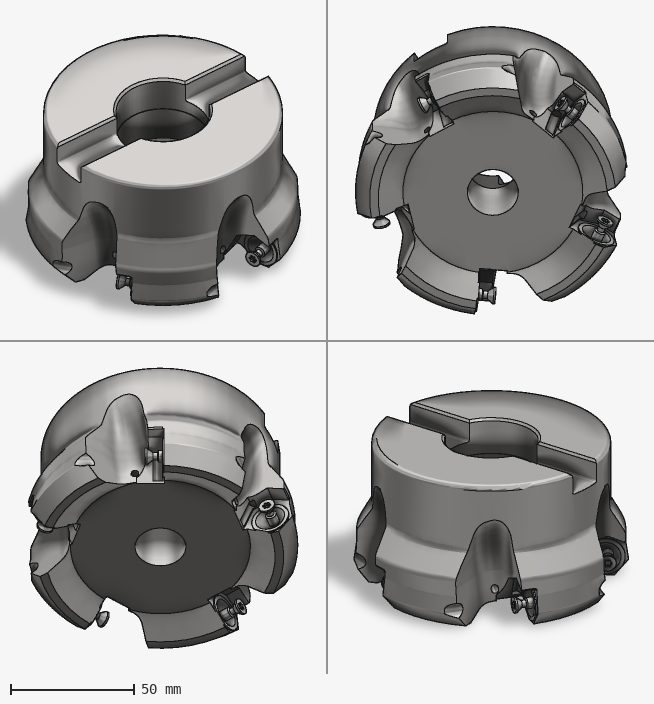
import cadquery as cq
import math

tooth_count = 5
tooth_pitch = 360.0 / tooth_count
first_tooth_angle = 13.0

body_height = 61.71
hub_radius = 48.5
hub_rim_fillet = 2.0
neck_z = 33.0
shoulder_radius = 54.7
shoulder_z = 22.0
shoulder_blend = 4.6
flare_start_z = 14.5
flare_radius = 55.8
flare_z = 7.0
flare_blend = 1.0
face_radius = 50.0
edge_band = 0.1

through_radius = 10.3
pilot_radius = 19.05
pilot_mouth_depth = 15.4
pilot_step = 0.2
pilot_floor_z = 31.0
pilot_chamfer = 1.0
face_recess_mouth_radius = 46.5
face_recess_floor_radius = 36.5
face_recess_depth = 6.0
slot_width = 15.875
slot_depth = 9.4
slot_edge = 1.0

tooth_face_y = -0.2
tooth_face_angle = 5.0
flute_floor_x = 36.5
flute_floor_width = 12.0
flute_back_angle = 45.0
flute_fillet = 7.5
flute_tilt = 5.5
flute_reach = 26.0
flute_runout_z = 20.0
flute_runout_radius = 39.6
flute_runout_angle = 60.0
flute_drop = 25.0

screw_x = 46.9
screw_z = 8.4
seat_y = 6.7
seat_rake = 6.5
pocket_corner_radius = 11.7
pocket_corner_step = 45.0
pocket_front_y = -4.0
seat_radius = 7.9
seat_rise = 0.6
relief_radius = 1.6
wall_groove_radius = 2.0
bowl_radius = 6.2
bowl_depth = 3.2
bowl_offset = 0.9
driver_radius = 3.6
driver_length = 35.5

coolant_radius = 1.5
coolant_entry_radius = 15.3
coolant_entry_angle = -43.0
coolant_exit = (37.0, -5.8, 10.7)
coolant_overrun = 4.0

head_radius = 3.4
head_rim = 0.8
head_front_y = -0.4
head_cone_length = 2.4
neck_radius = 1.5
thread_radius = 2.3
thread_start_y = 5.0
thread_chamfer = 0.4
screw_end_y = 18.0
socket_radius = 1.3
socket_lobe_radius = 0.4
socket_lobes = 6
socket_depth = 1.5


def make_blank():
    """Turned outside of the cutter with its stepped bore and face recess."""
    blank = (
        cq.Workplane("XZ")
        .moveTo(0, 0)
        .lineTo(face_radius, 0)
        .lineTo(flare_radius, flare_z)
        .lineTo(shoulder_radius, flare_start_z)
        .lineTo(shoulder_radius, shoulder_z)
        .lineTo(hub_radius, neck_z)
        .lineTo(hub_radius, body_height)
        .lineTo(0, body_height)
        .close()
        .revolve(360, (0, 0, 0), (0, 1, 0))
    )
    blank = blank.faces(">Z").edges().fillet(hub_rim_fillet)
    blends = [(neck_z, shoulder_blend), (shoulder_z, shoulder_blend), (flare_z, flare_blend)]
    reach = 2 * flare_radius
    for z, blend in blends:
        ring = cq.selectors.BoxSelector((-reach, -reach, z - edge_band), (reach, reach, z + edge_band))
        blank = blank.edges(ring).fillet(blend)
    bore = (
        cq.Workplane("XZ")
        .polyline([
            (0, 0),
            (face_recess_mouth_radius, 0),
            (face_recess_floor_radius, face_recess_depth),
            (through_radius, face_recess_depth),
            (through_radius, pilot_floor_z),
            (pilot_radius - pilot_step, pilot_floor_z),
            (pilot_radius - pilot_step, body_height - pilot_mouth_depth),
            (pilot_radius, body_height - pilot_mouth_depth),
            (pilot_radius, body_height - pilot_chamfer),
            (pilot_radius + pilot_chamfer, body_height),
            (0, body_height),
        ])
        .close()
        .revolve(360, (0, 0, 0), (0, 1, 0))
    )
    return blank.cut(bore)


def make_drive_slot():
    """Key slot across the back face, with filleted floor corners and chamfered lips."""
    half = slot_width / 2
    floor_z = body_height - slot_depth
    length = 2 * (hub_radius + 1)
    slot = (
        cq.Workplane("XY")
        .box(slot_width, length, slot_depth, centered=(True, True, False))
        .edges("|Y and <Z")
        .fillet(slot_edge)
        .translate((0, 0, floor_z))
    )
    lips = (
        cq.Workplane("XZ", origin=(0, length / 2, 0))
        .polyline([
            (-half, body_height - slot_edge),
            (-half - slot_edge, body_height),
            (half + slot_edge, body_height),
            (half, body_height - slot_edge),
        ])
        .close()
        .extrude(length)
    )
    return slot.union(lips)


def make_flute():
    """Chip flute: a straight channel that arcs outward at its top."""
    back_drop = flute_reach / math.tan(math.radians(flute_back_angle))
    face_rise = flute_reach * math.tan(math.radians(tooth_face_angle))
    back_foot_y = -flute_floor_width
    outline = [
        (flute_reach, face_rise),
        (0, 0),
        (0, back_foot_y),
        (flute_reach, back_foot_y - back_drop),
    ]
    section = cq.Sketch().polygon(outline + outline[:1]).vertices("<X").fillet(flute_fillet)
    straight = cq.Workplane("XY").placeSketch(section).extrude(-flute_drop)
    runout = (
        cq.Workplane("XY")
        .placeSketch(section)
        .revolve(flute_runout_angle, (flute_runout_radius, 0, 0), (flute_runout_radius, 1, 0))
    )
    flute = straight.union(runout).rotate((0, 0, 0), (1, 0, 0), flute_tilt)
    return flute.translate((flute_floor_x, tooth_face_y, flute_runout_z))


def tangential_plane(y):
    """Plane across the screw axis, radial direction first, with its normal out of the tooth."""
    return cq.Workplane("XZ", origin=(screw_x, y, screw_z))


def at_seat_rake(shape):
    """Swing a shape about the vertical line through the seat centre by the seat's radial rake."""
    return shape.rotate((screw_x, seat_y, 0), (screw_x, seat_y, 1), seat_rake)


def pocket_corner(step):
    """Corner of the octagonal insert, counted upward from the outermost one."""
    angle = math.radians(step * pocket_corner_step)
    return (pocket_corner_radius * math.cos(angle), pocket_corner_radius * math.sin(angle))


def make_pocket():
    """Insert pocket with a corner relief, raised round seat, bowl and screwdriver access."""
    outer, upper_outer, top, upper_inner, inner = [pocket_corner(i) for i in range(5)]
    inner_foot = (2 * inner[0] - upper_inner[0], -upper_inner[1])
    outer_foot = (outer[0], inner_foot[1] - pocket_corner_radius)
    low_foot = (inner_foot[0], outer_foot[1])
    outline = [outer, upper_outer, top, upper_inner, inner_foot, low_foot, outer_foot]
    depth = seat_y - pocket_front_y
    pocket = tangential_plane(seat_y).polyline(outline).close().extrude(depth)
    surround_plane = tangential_plane(seat_y + seat_rise)
    seat_pad = surround_plane.center(-bowl_offset, 0).circle(seat_radius).extrude(seat_rise)
    surround = surround_plane.polyline(outline).close().extrude(seat_rise).cut(seat_pad)
    relief = tangential_plane(seat_y).center(*upper_outer).circle(relief_radius).extrude(depth)
    wall_x = (upper_inner[0] + inner[0]) / 2
    wall_z = (upper_inner[1] + inner[1]) / 2
    groove = (
        cq.Workplane("XY")
        .circle(wall_groove_radius)
        .extrude(pocket_corner_radius / 2, both=True)
        .rotate((0, 0, 0), (0, 1, 0), pocket_corner_step / 2)
        .translate((screw_x + wall_x, seat_y - wall_groove_radius, screw_z + wall_z))
    )
    bowl_sphere_radius = (bowl_radius**2 + bowl_depth**2) / (2 * bowl_depth)
    bowl_mid_angle = math.asin(bowl_radius / bowl_sphere_radius) / 2
    bowl_mid = (
        bowl_sphere_radius * math.sin(bowl_mid_angle),
        bowl_depth - bowl_sphere_radius * (1 - math.cos(bowl_mid_angle)),
    )
    bowl = (
        cq.Workplane("XY", origin=(screw_x - bowl_offset, seat_y, screw_z))
        .lineTo(bowl_radius, 0)
        .threePointArc(bowl_mid, (0, bowl_depth))
        .close()
        .revolve(360, (0, 0, 0), (0, 1, 0))
    )
    driver = tangential_plane(seat_y).circle(driver_radius).extrude(driver_length)
    cuts = pocket.union(surround).union(relief).union(groove).union(bowl).union(driver)
    return at_seat_rake(cuts)


def make_coolant_hole():
    """Slanted hole from the bore floor to the flute."""
    angle = math.radians(coolant_entry_angle)
    entry = cq.Vector(
        coolant_entry_radius * math.cos(angle),
        coolant_entry_radius * math.sin(angle),
        pilot_floor_z,
    )
    run = cq.Vector(*coolant_exit) - entry
    direction = run.normalized()
    start = entry - direction * coolant_overrun
    drill_plane = cq.Plane(origin=start.toTuple(), normal=direction.toTuple())
    return cq.Workplane(drill_plane).circle(coolant_radius).extrude(run.Length + 2 * coolant_overrun)


def make_screw_blank():
    """Screw without its socket; the same shape cuts the threaded hole."""
    head_back_y = head_front_y + head_rim
    cone_end_y = head_back_y + head_cone_length
    return (
        cq.Workplane("XY", origin=(screw_x, 0, screw_z))
        .polyline([
            (0, head_front_y),
            (head_radius, head_front_y),
            (head_radius, head_back_y),
            (neck_radius, cone_end_y),
            (neck_radius, thread_start_y - thread_chamfer),
            (thread_radius, thread_start_y),
            (thread_radius, screw_end_y - thread_chamfer),
            (thread_radius - thread_chamfer, screw_end_y),
            (0, screw_end_y),
        ])
        .close()
        .revolve(360, (0, 0, 0), (0, 1, 0))
    )


def make_screw():
    """Clamping screw with a six-lobe socket in its head."""
    core = tangential_plane(head_front_y).circle(socket_radius).extrude(-socket_depth)
    lobes = (
        tangential_plane(head_front_y)
        .polarArray(socket_radius, 0, 360, socket_lobes)
        .circle(socket_lobe_radius)
        .extrude(-socket_depth)
    )
    return make_screw_blank().cut(core).cut(lobes)


def at_tooth(shape, index):
    """Turn a shape from the tooth frame to one of the teeth."""
    return shape.rotate((0, 0, 0), (0, 0, 1), first_tooth_angle + index * tooth_pitch)


tooth_cuts = [make_flute(), make_pocket(), make_coolant_hole(), at_seat_rake(make_screw_blank())]
body = make_blank().cut(make_drive_slot())
for i in range(tooth_count):
    for cutter in tooth_cuts:
        body = body.cut(at_tooth(cutter, i))

screw = at_seat_rake(make_screw())
screws = [at_tooth(screw, i) for i in range(tooth_count)]

result = cq.Compound.makeCompound([body.val(), *[s.val() for s in screws]])